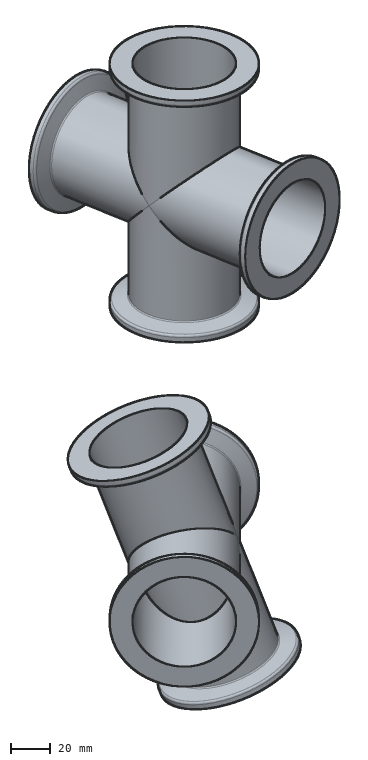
import cadquery as cq
import math

span = 140.0
flange_diameter = 75.0
tube_diameter = 56.0
bore_diameter = 52.0

rim_thickness = 3.9
corner_radius = 1.4
root_fillet = 0.7
taper_angle = math.radians(15)

edge_tolerance = 0.1

half_span = span / 2
flange_radius = flange_diameter / 2
tube_radius = tube_diameter / 2
taper_length = (flange_radius - tube_radius) * math.tan(taper_angle)
rim_height = half_span - rim_thickness
taper_end = rim_height - taper_length


def flanged_arm():
    """Solid arm along +Z from the centre, with a tapered clamp flange at its end."""
    tube = cq.Workplane("XY").circle(tube_radius).extrude(half_span)
    flange = (
        cq.Workplane("XZ")
        .moveTo(0, half_span)
        .lineTo(flange_radius, half_span)
        .lineTo(flange_radius, rim_height)
        .lineTo(tube_radius, taper_end)
        .lineTo(0, taper_end)
        .close()
        .revolve(360, (0, 0, 0), (0, 1, 0))
    )
    arm = tube.union(flange)
    rim_corner = cq.selectors.BoxSelector(
        (-flange_diameter, -flange_diameter, rim_height - edge_tolerance),
        (flange_diameter, flange_diameter, rim_height + edge_tolerance),
    )
    root_corner = cq.selectors.BoxSelector(
        (-flange_diameter, -flange_diameter, taper_end - edge_tolerance),
        (flange_diameter, flange_diameter, taper_end + edge_tolerance),
    )
    arm = arm.edges("%CIRCLE").edges(rim_corner).fillet(corner_radius)
    return arm.edges("%CIRCLE").edges(root_corner).fillet(root_fillet)


def bore():
    """Through bore along Z."""
    return cq.Workplane("XY").circle(bore_diameter / 2).extrude(half_span, both=True)


def turned_about_y(body, angle):
    return body.rotate((0, 0, 0), (0, 1, 0), angle)


arm = flanged_arm()
result = arm
for angle in (90, 180, 270):
    result = result.union(turned_about_y(arm, angle))

for angle in (0, 90):
    result = result.cut(turned_about_y(bore(), angle))